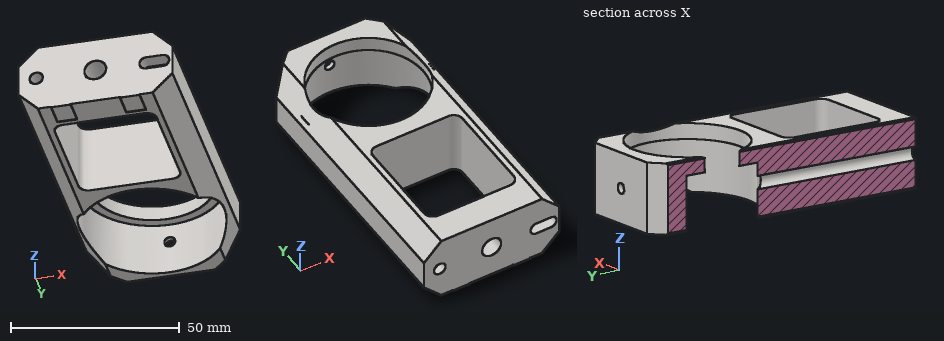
import cadquery as cq

BODY_WIDTH = 47.0
BODY_LENGTH = 94.0
BODY_HEIGHT = 22.0
LONG_EDGE_CHAMFER = 6.0
BACK_CORNER_CHAMFER = 10.0
FRONT_Y = -BODY_LENGTH / 2
BACK_Y = BODY_LENGTH / 2
BOTTOM_Z = -BODY_HEIGHT / 2

BORE_BACK_DISTANCE = 24.0
BORE_CENTER_Y = BACK_Y - BORE_BACK_DISTANCE
LIP_DIAMETER = 38.0
BORE_DIAMETER = 44.1
LIP_THICKNESS = 4.9

WINDOW_WIDTH = 31.0
WINDOW_LENGTH = 35.0
WINDOW_CORNER_RADIUS = 3.0
FRONT_WALL = 10.0
WINDOW_CENTER_Y = FRONT_Y + FRONT_WALL + WINDOW_LENGTH / 2

SIDE_OFFSET = 18.0
PIN_HOLE_DIAMETER = 4.0
BORE_WALL = 0.1
SLOT_LENGTH = 9.0
SLOT_WIDTH = PIN_HOLE_DIAMETER
SLOT_DEPTH = 5.0
CENTER_HOLE_DIAMETER = 6.6
BACK_HOLE_DIAMETER = 3.24

FOOT_WIDTH = 6.0
FOOT_LENGTH = 8.0
FOOT_HEIGHT = 0.2
FOOT_OFFSET = 10.5


def make_body():
    """Block with chamfered long edges and cut-off back corners."""
    block = cq.Workplane("XY").box(BODY_WIDTH, BODY_LENGTH, BODY_HEIGHT)
    block = block.edges("|Y").chamfer(LONG_EDGE_CHAMFER)
    outline = (
        cq.Workplane("XY", origin=(0, 0, BOTTOM_Z))
        .rect(BODY_WIDTH, BODY_LENGTH)
        .extrude(BODY_HEIGHT)
        .edges("|Z and >Y")
        .chamfer(BACK_CORNER_CHAMFER)
    )
    return block.intersect(outline)


def make_feet():
    """Two thin pads under the front end, flush with the front face."""
    return (
        cq.Workplane("XY", origin=(0, FRONT_Y + FOOT_LENGTH / 2, BOTTOM_Z))
        .pushPoints([(-FOOT_OFFSET, 0), (FOOT_OFFSET, 0)])
        .rect(FOOT_WIDTH, FOOT_LENGTH)
        .extrude(-FOOT_HEIGHT)
    )


def make_stepped_bore():
    """Through hole that widens below the top lip."""
    plane = cq.Workplane("XY", origin=(0, BORE_CENTER_Y, BOTTOM_Z))
    through = plane.circle(LIP_DIAMETER / 2).extrude(BODY_HEIGHT)
    wide = plane.circle(BORE_DIAMETER / 2).extrude(BODY_HEIGHT - LIP_THICKNESS)
    return through.union(wide)


def make_window():
    """Rectangular through opening with rounded corners."""
    return (
        cq.Workplane("XY", origin=(0, WINDOW_CENTER_Y, BOTTOM_Z))
        .rect(WINDOW_WIDTH, WINDOW_LENGTH)
        .extrude(BODY_HEIGHT)
        .edges("|Z")
        .fillet(WINDOW_CORNER_RADIUS)
    )


def make_y_hole(x, diameter, start_y, end_y):
    """Round hole along Y between two stations."""
    return (
        cq.Workplane("XZ", origin=(x, start_y, 0))
        .circle(diameter / 2)
        .extrude(start_y - end_y)
    )


def make_pin_hole():
    """Long blind hole from the front face; its floor follows the wall left around the bore."""
    drilled = make_y_hole(-SIDE_OFFSET, PIN_HOLE_DIAMETER, FRONT_Y, BORE_CENTER_Y)
    bore_sleeve = (
        cq.Workplane("XY", origin=(0, BORE_CENTER_Y, BOTTOM_Z))
        .circle(BORE_DIAMETER / 2 + BORE_WALL)
        .extrude(BODY_HEIGHT)
    )
    return drilled.cut(bore_sleeve)


def make_slot():
    """Blind slot in the front face, lying along X."""
    return (
        cq.Workplane("XZ", origin=(SIDE_OFFSET, FRONT_Y, 0))
        .slot2D(SLOT_LENGTH, SLOT_WIDTH)
        .extrude(-SLOT_DEPTH)
    )


result = (
    make_body()
    .union(make_feet())
    .cut(make_stepped_bore())
    .cut(make_window())
    .cut(make_pin_hole())
    .cut(make_y_hole(0, CENTER_HOLE_DIAMETER, FRONT_Y, WINDOW_CENTER_Y))
    .cut(make_y_hole(0, BACK_HOLE_DIAMETER, BORE_CENTER_Y, BACK_Y))
    .cut(make_slot())
)